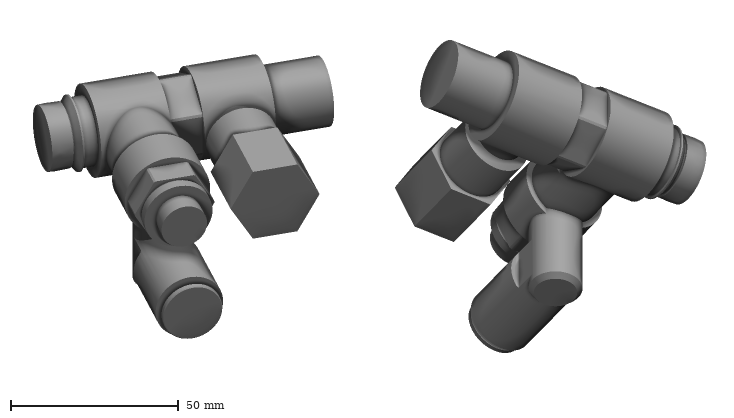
import cadquery as cq
import math


STEM_R = 10.8
STEM_BACK_Y = 60.6
HEX_START_Y = 9.3
HEX_END_Y = 19.3
STEM_HEX_FLATS = 24.1
STEM_HEX_TIP_R = 13.65
LIP_Y = -17.2
LIP_R = 11.7
LIP_EDGE = 0.5
LIP_CONE_LENGTH = 2.0
GROOVE_R = 9.4
GROOVE_WIDTH = 0.4
PLUG_R = 10.15
PLUG_MIDDLE_R = 10.3
STEM_LENGTH = 87.5
STEM_FRONT_Y = STEM_BACK_Y - STEM_LENGTH

RING_R = 14.3
RING_LENGTH = 22.1

INLET_Y = 29.75
INLET_NECK_R = 8.1
INLET_NECK_END = 15.75
INLET_R = 10.9
INLET_CONE_END = 17.3
INLET_HEX_START = 31.6
INLET_HEX_END = 52.3
INLET_HEX_FLATS = 24.0

BRANCH_R = 11.5
COLLAR_START = 26.7
COLLAR_END = 39.8
COLLAR_R = 13.3
TRIM_X = 14.1
TRIM_CLEARANCE = 0.3
BRANCH_HEX_END = 47.25
BRANCH_HEX_FLATS = 21.7
BRANCH_HEX_TIP_R = 12.3
KNOB_GAP = 0.6
KNOB_NECK_R = 10.1
KNOB_START = BRANCH_HEX_END + KNOB_GAP
KNOB_R = 10.6
KNOB_CHAMFER = 0.35
KNOB_END = 51.3
SPINDLE_R = 7.1
SPINDLE_END = 57.3

LEG_X = 31.7
LEG_R = 8.05
LEG_BOTTOM = -35.9
LEG_CHAMFER = 1.6
SOCKET_R = 10.5
SOCKET_Z = LEG_BOTTOM + SOCKET_R
SOCKET_END = 62.5
CHEEK_FILLET = 0.7
SLEEVE_R = 6.7
FLANGE_R = 9.3
FLANGE_START = 64.5
FLANGE_END = 66.1
FLANGE_CHAMFER = 0.3


def cylinder_x(radius, start, end, y=0, z=0):
    """Cylinder along X between two X positions."""
    return cq.Workplane("YZ", origin=(start, y, z)).circle(radius).extrude(end - start)


def cylinder_y(radius, start, end):
    """Cylinder on the stem axis between two Y positions."""
    return cq.Workplane("XZ", origin=(0, end, 0)).circle(radius).extrude(end - start)


def corner_width(flats):
    """Distance over the corners of a hexagon with the given width across flats."""
    return flats / math.cos(math.pi / 6)


def hex_x(flats, start, end, y=0):
    """Hexagonal prism along X with two corners on the +Y and -Y sides."""
    return cq.Workplane("YZ", origin=(start, y, 0)).polygon(6, corner_width(flats)).extrude(end - start)


def make_stem():
    lip_edge_y = LIP_Y - LIP_EDGE
    groove_y = lip_edge_y - LIP_CONE_LENGTH
    plug_y = groove_y - GROOVE_WIDTH
    stem = (
        cq.Workplane("XY")
        .moveTo(0, STEM_BACK_Y)
        .lineTo(STEM_R, STEM_BACK_Y)
        .lineTo(STEM_R, LIP_Y)
        .lineTo(LIP_R, LIP_Y)
        .lineTo(LIP_R, lip_edge_y)
        .lineTo(GROOVE_R, groove_y)
        .lineTo(GROOVE_R, plug_y)
        .lineTo(PLUG_R, plug_y)
        .threePointArc((PLUG_MIDDLE_R, (plug_y + STEM_FRONT_Y) / 2), (PLUG_R, STEM_FRONT_Y))
        .lineTo(0, STEM_FRONT_Y)
        .close()
        .revolve(360, (0, 0, 0), (0, 1, 0))
    )
    wrench_hex = (
        cq.Workplane("XZ", origin=(0, HEX_END_Y, 0))
        .transformed(rotate=(0, 0, 90))
        .polygon(6, corner_width(STEM_HEX_FLATS))
        .extrude(HEX_END_Y - HEX_START_Y)
        .intersect(cylinder_y(STEM_HEX_TIP_R, HEX_START_Y, HEX_END_Y))
    )
    return stem.union(wrench_hex)


def make_inlet_banjo():
    ring_start = HEX_END_Y
    ring_end = ring_start + RING_LENGTH
    branch = (
        cq.Workplane("XY")
        .polyline([
            (0, INLET_Y),
            (0, INLET_Y + INLET_NECK_R),
            (INLET_NECK_END, INLET_Y + INLET_NECK_R),
            (INLET_CONE_END, INLET_Y + INLET_R),
            (INLET_HEX_START, INLET_Y + INLET_R),
            (INLET_HEX_START, INLET_Y),
        ])
        .close()
        .revolve(360, (0, INLET_Y, 0), (1, INLET_Y, 0))
    )
    port_hex = hex_x(INLET_HEX_FLATS, INLET_HEX_START, INLET_HEX_END, INLET_Y)
    banjo = cylinder_y(RING_R, ring_start, ring_end).union(branch).union(port_hex)
    return banjo.cut(cylinder_y(STEM_R, ring_start, ring_end))


def make_outlet_branch():
    """Branch pipe, collar, hexagon and adjusting knob on one axis."""
    pipe = cylinder_x(BRANCH_R, 0, COLLAR_START)
    overhang = (
        cq.Workplane("XY", origin=(0, HEX_START_Y + TRIM_CLEARANCE, 0))
        .box(TRIM_X, BRANCH_R, 2 * BRANCH_R, centered=(False, False, True))
    )
    pipe = pipe.cut(overhang)
    pipe = pipe.cut(cylinder_y(STEM_HEX_TIP_R, HEX_START_Y, HEX_END_Y))
    collar = cylinder_x(COLLAR_R, COLLAR_START, COLLAR_END)
    nut = hex_x(BRANCH_HEX_FLATS, COLLAR_END, BRANCH_HEX_END)
    nut = nut.intersect(cylinder_x(BRANCH_HEX_TIP_R, COLLAR_END, BRANCH_HEX_END))
    knob_neck = cylinder_x(KNOB_NECK_R, BRANCH_HEX_END, KNOB_START)
    knob = cylinder_x(KNOB_R, KNOB_START, KNOB_END).faces("<X").chamfer(KNOB_CHAMFER)
    spindle = cylinder_x(SPINDLE_R, KNOB_END, SPINDLE_END)
    return pipe.union(collar).union(nut).union(knob_neck).union(knob).union(spindle)


def make_elbow():
    """Vertical leg with a horizontal push-in socket."""
    leg = cq.Workplane("XY", origin=(LEG_X, 0, LEG_BOTTOM)).circle(LEG_R).extrude(-LEG_BOTTOM)
    leg = leg.faces("<Z").chamfer(LEG_CHAMFER)
    socket = cylinder_x(SOCKET_R, LEG_X, SOCKET_END, z=SOCKET_Z)
    cheek_length = COLLAR_END - LEG_X
    for side in (-1, 1):
        cheek = (
            cq.Workplane("XY")
            .box(cheek_length, SOCKET_R, 2 * SOCKET_R, centered=(False, True, True))
            .edges(">X and |Z")
            .edges(">Y" if side < 0 else "<Y")
            .fillet(CHEEK_FILLET)
            .translate((LEG_X, side * (LEG_R + SOCKET_R / 2), SOCKET_Z))
        )
        socket = socket.cut(cheek)
    sleeve = cylinder_x(SLEEVE_R, SOCKET_END, FLANGE_START, z=SOCKET_Z)
    flange = cylinder_x(FLANGE_R, FLANGE_START, FLANGE_END, z=SOCKET_Z).faces(">X").chamfer(FLANGE_CHAMFER)
    return leg.union(socket).union(sleeve).union(flange)


def make_outlet_banjo():
    ring_end = HEX_START_Y
    ring_start = ring_end - RING_LENGTH
    ring = cylinder_y(RING_R, ring_start, ring_end)
    banjo = ring.union(make_outlet_branch()).union(make_elbow())
    return banjo.cut(cylinder_y(STEM_R, ring_start, ring_end))


stem = make_stem()
inlet_banjo = make_inlet_banjo()
outlet_banjo = make_outlet_banjo()

bodies = [stem, inlet_banjo, outlet_banjo]
result = cq.Compound.makeCompound([body.solids().val() for body in bodies])